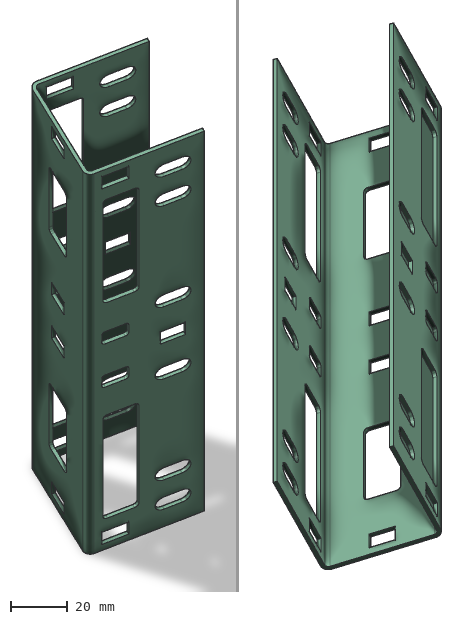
import cadquery as cq

length = 220.0
width = 46.0
depth = 46.5
thickness = 1.5
inner_bend_radius = 1.5
outer_bend_radius = inner_bend_radius + thickness

end_hole_height = 103.0
middle_hole_height = 12.5
window_height = 62.5
slot_heights = (21.0, 79.5, 96.4)

hole_length = 7.0
window_width = 14.0
window_corner_radius = 1.8

web_hole_width = 10.0
web_window_length = 37.2

flange_hole_width = 10.5
flange_hole_offset = 11.5
flange_hole_corner_radius = 1.3
flange_window_length = 59.8
flange_window_offset = 13.6
slot_width = 14.0
slot_offset = 34.0
centre_hole_width = 10.0


def mirrored(heights):
    """Each height together with its mirror image below mid-length."""
    return [sign * height for height in heights for sign in (1, -1)]


def make_channel():
    """Bent sheet with concentric inner and outer bends, centred on mid-length."""
    outer = (
        cq.Workplane("XY")
        .box(width, depth, length, centered=(True, False, True))
        .edges("|Z and <Y")
        .fillet(outer_bend_radius)
    )
    inside = (
        cq.Workplane("XY")
        .box(width - 2 * thickness, depth, length, centered=(True, False, True))
        .edges("|Z and <Y")
        .fillet(inner_bend_radius)
        .translate((0, thickness, 0))
    )
    return outer.cut(inside)


def web_cutters(opening_width, opening_length, heights, corner_radius=0):
    """Cutters through the web only, running along Y."""
    cutter = cq.Workplane("XY").box(opening_width, 2 * thickness, opening_length)
    if corner_radius:
        cutter = cutter.edges("|Y").fillet(corner_radius)
    return [cutter.translate((0, thickness / 2, height)) for height in heights]


def flange_cutters(opening_width, opening_length, offset, heights, corner_radius=0):
    """Cutters through both flanges, running along X."""
    cutter = cq.Workplane("XY").box(2 * width, opening_width, opening_length)
    if corner_radius:
        cutter = cutter.edges("|X").fillet(corner_radius)
    return [cutter.translate((0, offset, height)) for height in heights]


def flange_slot_cutters(heights):
    """Round-ended cutters through both flanges, long across the flange."""
    cutter = (
        cq.Workplane("YZ")
        .slot2D(slot_width, hole_length)
        .extrude(width, both=True)
    )
    return [cutter.translate((0, slot_offset, height)) for height in heights]


end_heights = mirrored([end_hole_height])
middle_heights = mirrored([middle_hole_height])
window_heights = mirrored([window_height])

cutters = [
    *web_cutters(web_hole_width, hole_length, end_heights + middle_heights),
    *web_cutters(window_width, web_window_length, window_heights, window_corner_radius),
    *flange_cutters(flange_hole_width, hole_length, flange_hole_offset, end_heights),
    *flange_cutters(
        flange_hole_width, hole_length, flange_hole_offset, middle_heights, flange_hole_corner_radius
    ),
    *flange_cutters(
        window_width, flange_window_length, flange_window_offset, window_heights, window_corner_radius
    ),
    *flange_slot_cutters(mirrored(slot_heights)),
    *flange_cutters(centre_hole_width, hole_length, slot_offset, [0]),
]

result = make_channel()
for opening in cutters:
    result = result.cut(opening)